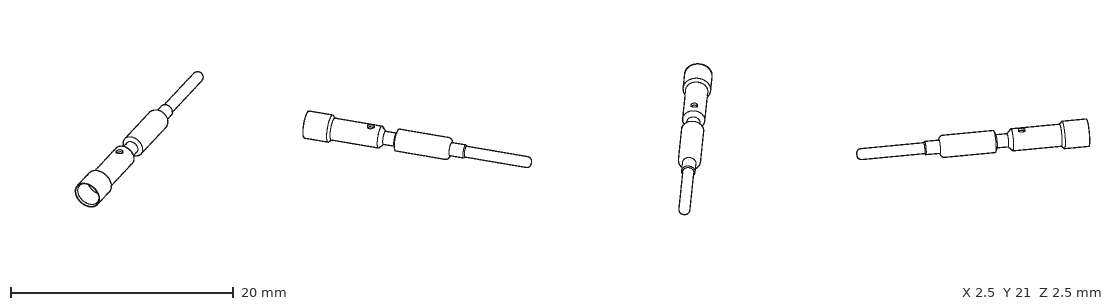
import cadquery as cq
import math

LENGTH = 21.0
COLLAR_RADIUS = 1.25
BODY_RADIUS = 1.0
NECK_RADIUS = 0.6
PIN_RADIUS = 0.5

COLLAR_EDGE = 2.23
BARREL_START = 2.48
BARREL_END = 6.89
BODY_START = 8.48
BODY_END = 13.48
PIN_START = 14.89

BODY_FILLET = BODY_RADIUS - NECK_RADIUS
TIP_FILLET = 0.4
BARREL_CHAMFER = BODY_RADIUS - NECK_RADIUS
BODY_CHAMFER_LENGTH = 0.17
STEP_CHAMFER = PIN_RADIUS and NECK_RADIUS - PIN_RADIUS

MOUTH_RADIUS = 1.1
MOUTH_CHAMFER = 0.1
MOUTH_CHAMFER_LENGTH = 0.19
MOUTH_DEPTH = 2.0
BORE_RADIUS = 0.78
FUNNEL_LENGTH = MOUTH_RADIUS - BORE_RADIUS
BORE_DEPTH = 6.5
DRILL_POINT_ANGLE = 118.0
DRILL_POINT_LENGTH = BORE_RADIUS / math.tan(math.radians(DRILL_POINT_ANGLE / 2))

INSPECTION_DIAMETER = 0.6
INSPECTION_Y = 6.0


def fillet_midpoint(radius, end, fillet):
    """Middle point of the quarter arc rounding a cylinder at its +Y end."""
    inset = fillet * (1 - math.sqrt(0.5))
    return radius - inset, end - inset


def make_outside():
    return (
        cq.Workplane("XY")
        .lineTo(COLLAR_RADIUS, 0)
        .lineTo(COLLAR_RADIUS, COLLAR_EDGE)
        .lineTo(BODY_RADIUS, BARREL_START)
        .lineTo(BODY_RADIUS, BARREL_END)
        .lineTo(NECK_RADIUS, BARREL_END + BARREL_CHAMFER)
        .lineTo(NECK_RADIUS, BODY_START - BODY_CHAMFER_LENGTH)
        .lineTo(BODY_RADIUS, BODY_START)
        .lineTo(BODY_RADIUS, BODY_END - BODY_FILLET)
        .threePointArc(fillet_midpoint(BODY_RADIUS, BODY_END, BODY_FILLET), (NECK_RADIUS, BODY_END))
        .lineTo(NECK_RADIUS, PIN_START - STEP_CHAMFER)
        .lineTo(PIN_RADIUS, PIN_START)
        .lineTo(PIN_RADIUS, LENGTH - TIP_FILLET)
        .threePointArc(fillet_midpoint(PIN_RADIUS, LENGTH, TIP_FILLET), (PIN_RADIUS - TIP_FILLET, LENGTH))
        .lineTo(0, LENGTH)
        .close()
        .revolve(360, (0, 0), (0, 1))
    )


def make_socket():
    return (
        cq.Workplane("XY")
        .lineTo(MOUTH_RADIUS + MOUTH_CHAMFER, 0)
        .lineTo(MOUTH_RADIUS, MOUTH_CHAMFER_LENGTH)
        .lineTo(MOUTH_RADIUS, MOUTH_DEPTH)
        .lineTo(BORE_RADIUS, MOUTH_DEPTH + FUNNEL_LENGTH)
        .lineTo(BORE_RADIUS, BORE_DEPTH)
        .lineTo(0, BORE_DEPTH + DRILL_POINT_LENGTH)
        .close()
        .revolve(360, (0, 0), (0, 1))
    )


def make_inspection_hole():
    return (
        cq.Workplane("XY")
        .center(0, INSPECTION_Y)
        .circle(INSPECTION_DIAMETER / 2)
        .extrude(COLLAR_RADIUS)
    )


result = make_outside().cut(make_socket()).cut(make_inspection_hole())